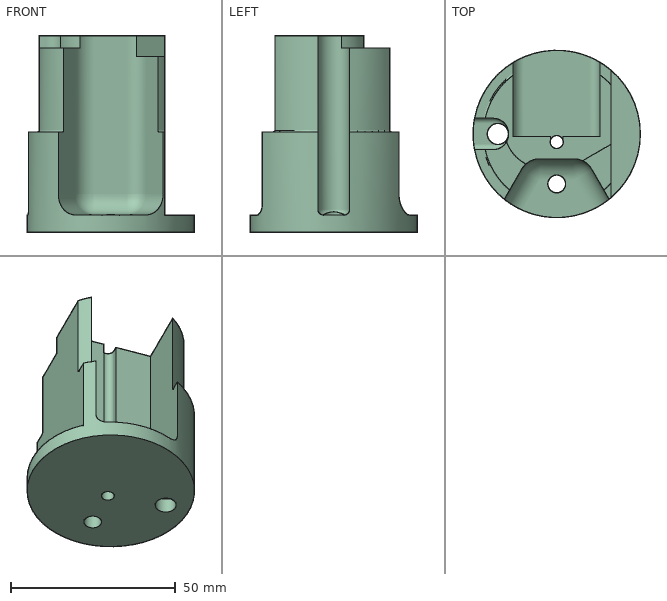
import cadquery as cq
import math

base_diameter = 50.8
base_radius = base_diameter / 2
height = 59.7
floor_height = 5.25
shoulder_height = 30.5
upper_radius = 22.2
shoulder_fillet = 0.4
flat_x = 16.4

back_pocket_width = 26.4
back_pocket_y = -0.7
back_pocket_fillet = 3.2

notch_width = 3.9
notch_y = -2.45

front_wall_y = -7.5
front_wall_flat = 10.25
front_fillet = 6.3
flare_angle = math.radians(30)
front_hole_diameter = 5.3
front_hole_y = -15.15

side_slot_width = 9.55
side_slot_center_x = -19.35
side_slot_fillet = 1.6
side_hole_diameter = 6.3
side_hole_x = -17.85

left_ledge_height = 55.9
left_ledge_radius = 12.25
left_ledge_center = (-3.7, 1.75)
right_ledge_height = 53.3
right_ledge_y = -3.15

reach = 2 * base_radius


def stepped_body():
    profile = (
        cq.Workplane("XZ")
        .lineTo(base_radius, 0)
        .lineTo(base_radius, shoulder_height)
        .lineTo(upper_radius + shoulder_fillet, shoulder_height)
        .radiusArc((upper_radius, shoulder_height + shoulder_fillet), shoulder_fillet)
        .lineTo(upper_radius, height)
        .lineTo(0, height)
        .close()
    )
    return profile.revolve(360, (0, 0, 0), (0, 1, 0))


def cutter_sketch(level):
    return cq.Workplane("XY").workplane(offset=level)


def flat_cutter():
    return cutter_sketch(floor_height).center(flat_x + reach / 2, 0).rect(reach, reach).extrude(height)


def back_pocket():
    return (
        cutter_sketch(floor_height)
        .center(0, back_pocket_y + reach / 2)
        .rect(back_pocket_width, reach)
        .extrude(height)
        .edges("<Z and |Y")
        .fillet(back_pocket_fillet)
    )


def notch():
    length = back_pocket_y - notch_y
    slot = cutter_sketch(floor_height).center(0, notch_y + length / 2).rect(notch_width, length)
    return slot.extrude(height)


def front_pocket():
    inner_half = front_wall_flat / 2 + front_fillet * math.tan(flare_angle)
    outer_half = inner_half + reach * math.tan(flare_angle)
    outer_y = front_wall_y - reach
    cutter = (
        cutter_sketch(floor_height)
        .polyline([
            (-inner_half, front_wall_y),
            (inner_half, front_wall_y),
            (outer_half, outer_y),
            (-outer_half, outer_y),
        ])
        .close()
        .extrude(height)
    )
    cutter = cutter.edges("|Z and >Y").fillet(front_fillet)
    return cutter.faces("<Z").edges("not <Y").fillet(front_fillet)


def side_slot():
    half_width = side_slot_width / 2
    outer_x = side_slot_center_x - reach
    return (
        cutter_sketch(floor_height)
        .moveTo(outer_x, -half_width)
        .lineTo(side_slot_center_x, -half_width)
        .threePointArc((side_slot_center_x + half_width, 0), (side_slot_center_x, half_width))
        .lineTo(outer_x, half_width)
        .close()
        .extrude(height)
        .faces("<Z")
        .edges("not <X")
        .fillet(side_slot_fillet)
    )


def through_hole(x, y, diameter):
    return cq.Workplane("XY").center(x, y).circle(diameter / 2).extrude(height)


def left_ledge():
    blank = cutter_sketch(left_ledge_height).center(-reach / 2, -reach / 2).rect(reach, reach).extrude(height)
    core = cutter_sketch(left_ledge_height).center(*left_ledge_center).circle(left_ledge_radius)
    return blank.cut(core.extrude(height))


def right_ledge():
    rise = flat_x * math.tan(flare_angle)
    return (
        cutter_sketch(right_ledge_height)
        .polyline([(0, right_ledge_y - rise), (flat_x, right_ledge_y), (flat_x, -reach), (0, -reach)])
        .close()
        .extrude(height)
    )


result = (
    stepped_body()
    .cut(flat_cutter())
    .cut(back_pocket())
    .cut(notch())
    .cut(front_pocket())
    .cut(side_slot())
    .cut(through_hole(0, notch_y, notch_width))
    .cut(through_hole(0, front_hole_y, front_hole_diameter))
    .cut(through_hole(side_hole_x, 0, side_hole_diameter))
    .cut(left_ledge())
    .cut(right_ledge())
)